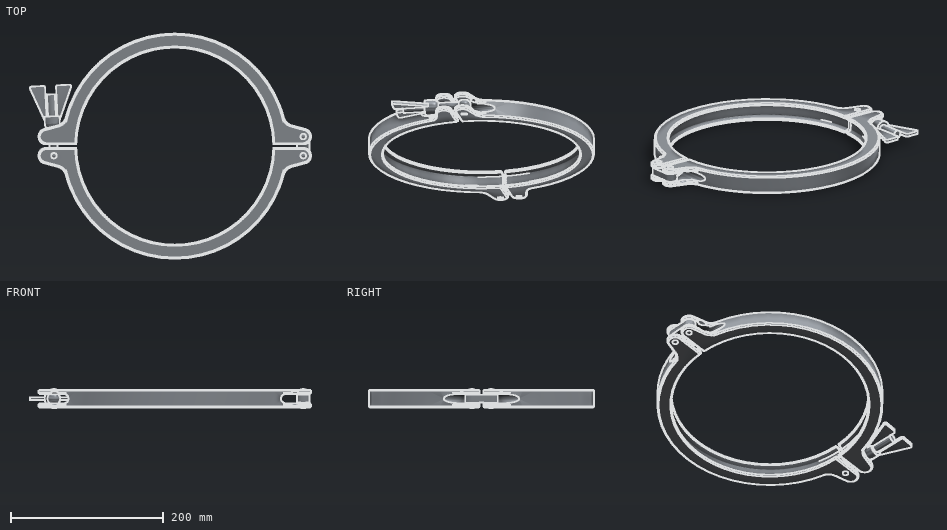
import cadquery as cq
import math

ring_outer_radius = 147.5
ring_inner_radius = 128.5
clamp_height = 24.0
half_gap = 2.2
edge_chamfer = 2.0
lip_chamfer = 1.0

groove_radius = 135.5
groove_lip_half_height = 9.2
groove_taper = 20
groove_fillet = 1.0

lug_tip_radius = 10.3
lug_tip_x = 168.0
lug_tip_y = half_gap + lug_tip_radius
lug_slope = 15
lug_blend_radius = 14.7
lug_root_x = 139.5
slot_height = 11.8
slot_floor_x = 139.0
slot_end_radius = slot_height / 2
lug_thickness = (clamp_height - slot_height) / 2

pin_radius = 3.5
pin_dome_height = 0.7
link_height = 10.3
link_end_radius = 8.5

bolt_x = 158.0
bolt_tilt = 2.8
bolt_radius = 5.33
bolt_length = 80.5
eye_radius = 8.5
nut_radius = 10.0
nut_seat_distance = 42.0
nut_end_distance = 51.5
nut_seat_y = nut_seat_distance - lug_tip_y
wing_thickness = 4.0
wing_inner_x = 7.0
wing_root_x = 9.2
wing_root_distance = 44.5
wing_tip_x = 28.3
wing_tip_distance = 92.0
wing_corner_radius = 2.5

big = 2 * (lug_tip_x + lug_tip_radius)


def lug_outline():
    """Closed outline of the lug on the +X side of the +Y half."""
    slope = math.radians(lug_slope)
    normal = cq.Vector(math.sin(slope), math.cos(slope))
    along = cq.Vector(-math.cos(slope), math.sin(slope))
    tip_centre = cq.Vector(lug_tip_x, lug_tip_y)
    tip_end = tip_centre + normal * lug_tip_radius

    offset_start = tip_end + normal * lug_blend_radius
    centre_distance = ring_outer_radius + lug_blend_radius
    projection = offset_start.dot(along)
    root_term = projection**2 - offset_start.dot(offset_start) + centre_distance**2
    slope_length = -projection - math.sqrt(root_term)
    blend_centre = offset_start + along * slope_length
    blend_start = blend_centre - normal * lug_blend_radius
    to_ring = blend_centre.normalized() * -1
    blend_end = blend_centre + to_ring * lug_blend_radius
    blend_middle = blend_centre + (to_ring - normal).normalized() * lug_blend_radius

    return (
        cq.Workplane("XY")
        .moveTo(lug_root_x, half_gap)
        .lineTo(lug_tip_x, half_gap)
        .threePointArc((lug_tip_x + lug_tip_radius, lug_tip_y), tip_end.toTuple()[:2])
        .lineTo(*blend_start.toTuple()[:2])
        .threePointArc(blend_middle.toTuple()[:2], blend_end.toTuple()[:2])
        .close()
    )


def lug_plate():
    """Upper lug on the +X side, chamfered all round except where it joins the ring."""
    plate = lug_outline().extrude(lug_thickness).translate((0, 0, slot_height / 2))
    rim = plate.faces("|Z").edges().filter(lambda edge: edge.Center().x > ring_outer_radius - edge_chamfer)
    return rim.chamfer(edge_chamfer)


def ring_half():
    """Solid half ring on the +Y side, with every top and bottom edge chamfered."""
    ring = (
        cq.Workplane("XY")
        .circle(ring_outer_radius)
        .circle(ring_inner_radius)
        .extrude(clamp_height / 2, both=True)
    )
    keep = cq.Workplane("XY").box(big, big, big).translate((0, big / 2 + half_gap, 0))
    return ring.intersect(keep).faces("|Z").chamfer(edge_chamfer)


def groove_tool():
    """Tapered channel that opens toward the ring axis, with chamfered mouth edges."""
    slope = math.tan(math.radians(groove_taper))
    floor_half_height = groove_lip_half_height - slope * (groove_radius - ring_inner_radius)
    mouth_half_height = groove_lip_half_height + lip_chamfer
    profile = [
        (ring_inner_radius - lip_chamfer, mouth_half_height),
        (ring_inner_radius, mouth_half_height),
        (ring_inner_radius + lip_chamfer, groove_lip_half_height - slope * lip_chamfer),
        (groove_radius, floor_half_height),
    ]
    mirrored = [(radius, -height) for radius, height in reversed(profile)]
    channel = (
        cq.Workplane("XZ")
        .polyline(profile + mirrored)
        .close()
        .revolve(360, (0, 0, 0), (0, 1, 0))
    )
    corners = channel.edges("%CIRCLE").filter(lambda edge: edge.radius() > groove_radius - lip_chamfer)
    return corners.fillet(groove_fillet)


def slot_tool():
    """Slot between the +X lugs, with a full-round floor cut into the ring."""
    axis_x = slot_floor_x + slot_end_radius
    length = ring_outer_radius
    floor = cq.Workplane("XZ").center(axis_x, 0).circle(slot_end_radius).extrude(-length)
    opening = cq.Workplane("XY").box(big, length, slot_height, centered=(False, False, True))
    return floor.union(opening.translate((axis_x, 0, 0)))


def clamp_half():
    """Half clamp on the +Y side: grooved ring, forked lugs and nut seats, alike at both ends."""
    seat = cq.Workplane("XY").sphere(nut_radius).translate((bolt_x, nut_seat_y, 0))
    right_side = cq.Workplane("XY").box(big, big, big).translate((big / 2, 0, 0))
    quarter = ring_half().cut(groove_tool()).cut(slot_tool()).intersect(right_side)
    top_lug = lug_plate()
    quarter = quarter.union(top_lug).union(top_lug.mirror("XY")).cut(seat)
    return quarter.union(quarter.mirror("YZ"))


def domed_pin(x, y):
    """Pin along Z through both lugs, with a shallow dome standing proud at each end."""
    half_length = clamp_height / 2
    dome_radius = (pin_radius**2 + pin_dome_height**2) / (2 * pin_dome_height)
    half_angle = math.asin(pin_radius / dome_radius) / 2
    arc_x = dome_radius * math.sin(half_angle)
    arc_z = half_length + pin_dome_height - dome_radius * (1 - math.cos(half_angle))
    profile = (
        cq.Workplane("XZ")
        .moveTo(0, 0)
        .lineTo(pin_radius, 0)
        .lineTo(pin_radius, half_length)
        .threePointArc((arc_x, arc_z), (0, half_length + pin_dome_height))
        .close()
    )
    upper = profile.revolve(360, (0, 0, 0), (0, 1, 0))
    return upper.union(upper.mirror("XY")).translate((x, y, 0))


def hinge():
    """Link with round ends, made in one piece with its two pins."""
    link = (
        cq.Workplane("XY")
        .center(lug_tip_x, 0)
        .slot2D(2 * (lug_tip_y + link_end_radius), 2 * link_end_radius, 90)
        .extrude(link_height / 2, both=True)
    )
    return link.union(domed_pin(lug_tip_x, lug_tip_y)).union(domed_pin(lug_tip_x, -lug_tip_y))


def wing():
    """Flat wing on the +X side of a bolt that runs along +Y from its pivot."""
    blade = (
        cq.Workplane("XY")
        .polyline([
            (0, wing_root_distance),
            (wing_root_x, wing_root_distance),
            (wing_tip_x, wing_tip_distance),
            (wing_inner_x, wing_tip_distance),
            (wing_inner_x, nut_end_distance),
            (0, nut_end_distance),
        ])
        .close()
        .extrude(wing_thickness / 2, both=True)
    )
    return blade.edges("|Z and >Y").fillet(wing_corner_radius)


def wing_bolt():
    """Swing bolt with its cross pin, ball eye and ball-nosed wing nut."""
    bolt = cq.Workplane("XZ").circle(bolt_radius).extrude(-bolt_length)
    ball = cq.Workplane("XY").sphere(eye_radius)
    bolt = bolt.union(ball.intersect(cq.Workplane("XY").box(big, big, slot_height)))
    nose = cq.Workplane("XY").sphere(nut_radius).translate((0, nut_seat_distance, 0))
    hub = (
        cq.Workplane("XZ", origin=(0, nut_seat_distance, 0))
        .circle(nut_radius)
        .extrude(nut_seat_distance - nut_end_distance)
    )
    bolt = bolt.union(hub).union(nose)
    for blade in (wing(), wing().mirror("YZ")):
        bolt = bolt.union(blade)
    bolt = bolt.union(domed_pin(0, 0))
    return bolt.rotate((0, 0, 0), (0, 0, 1), bolt_tilt).translate((-bolt_x, -lug_tip_y, 0))


bolt_body = wing_bolt()
hinge_body = hinge()
upper_half = clamp_half().cut(bolt_body).cut(hinge_body)
lower_half = clamp_half().mirror("XZ").cut(bolt_body).union(hinge_body)

result = cq.Compound.makeCompound([upper_half.val(), lower_half.val(), bolt_body.val()])